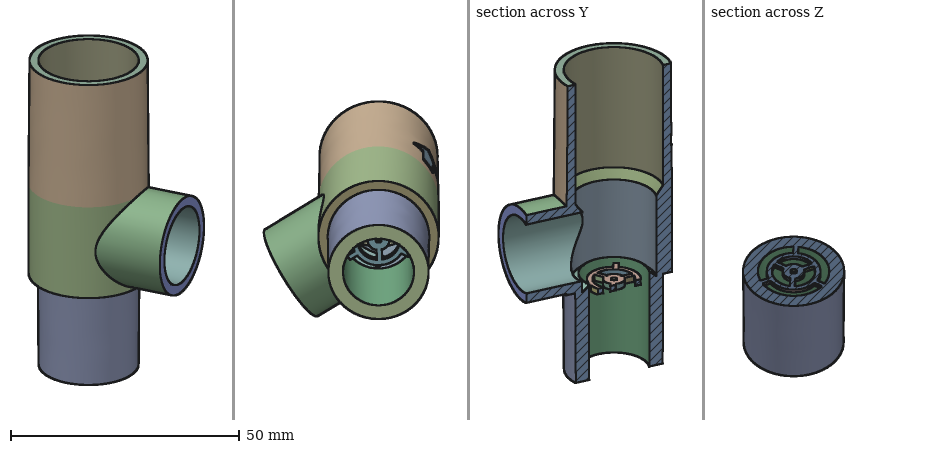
import cadquery as cq

total_height = 73.4
spigot_height = 22.0
tee_top = 43.9
body_radius = 13.2
rim_radius = 13.0
spigot_radius = 11.15
spigot_end_radius = 11.0

socket_radius = spigot_end_radius
chamber_radius = 9.4
outlet_radius = 7.8
shoulder_height = 2.2
seat_height = 1.5

branch_radius = spigot_radius
branch_bore_radius = 8.8
branch_reach = 22.75
branch_z = spigot_height + branch_radius

grid_thickness = 1.5
grid_bottom = spigot_height - grid_thickness
ring_outer_radius = 5.95
ring_inner_radius = 4.7
hub_radius = 2.4
pin_hole_radius = 0.65
spoke_width = 1.2
spoke_overlap = 0.4
spoke_count = 3

arrow_tip_z = 58.3
arrow_head_z = 53.3
arrow_bottom_z = 48.3
arrow_head_half_width = 4.6
arrow_shaft_half_width = 2.0
arrow_head_edge = 0.45
arrow_corner_radius = 0.45
arrow_depth = 0.15


def revolve_profile(points):
    """Turn a closed (radius, z) outline around the Z axis."""
    return cq.Workplane("XZ").polyline(points).close().revolve(360, (0, 0), (0, 1))


def body_outline(inset=0.0):
    """Tapered spigot, straight tee section and tapered socket."""
    return revolve_profile([
        (0, 0),
        (spigot_end_radius - inset, 0),
        (spigot_radius - inset, spigot_height),
        (body_radius - inset, spigot_height),
        (body_radius - inset, tee_top),
        (rim_radius - inset, total_height),
        (0, total_height),
    ])


def branch_cylinder(radius):
    return cq.Workplane("YZ").center(0, branch_z).circle(radius).extrude(branch_reach)


def main_bore():
    """Socket, conical shoulder, chamber, raised conical seat and outlet."""
    return revolve_profile([
        (0, 0),
        (outlet_radius, 0),
        (outlet_radius, spigot_height + seat_height),
        (chamber_radius, spigot_height),
        (chamber_radius, tee_top - shoulder_height),
        (socket_radius, tee_top),
        (socket_radius, total_height),
        (0, total_height),
    ])


def spokes(inner_radius, outer_radius, first_angle):
    """Equally spaced spokes that run slightly into the parts they join."""
    start = inner_radius - spoke_overlap
    length = outer_radius + spoke_overlap - start
    spoke = (
        cq.Workplane("XY")
        .workplane(offset=grid_bottom)
        .center(start + length / 2, 0)
        .rect(length, spoke_width)
        .extrude(grid_thickness)
    )
    spoke_set = cq.Workplane("XY")
    for index in range(spoke_count):
        angle = first_angle + index * 360 / spoke_count
        spoke_set = spoke_set.add(spoke.rotate((0, 0, 0), (0, 0, 1), angle))
    return spoke_set.combine()


def outlet_grid():
    base = cq.Workplane("XY").workplane(offset=grid_bottom)
    ring = base.circle(ring_outer_radius).circle(ring_inner_radius).extrude(grid_thickness)
    hub = base.circle(hub_radius).circle(pin_hole_radius).extrude(grid_thickness)
    inner_spokes = spokes(hub_radius, ring_inner_radius, 60)
    outer_spokes = spokes(ring_outer_radius, outlet_radius, 0)
    return ring.union(hub).union(inner_spokes).union(outer_spokes)


def arrow_recess():
    """Upward arrow, limited to a thin layer below the body surface."""
    right_half = [
        (arrow_head_half_width, arrow_head_z + arrow_head_edge),
        (arrow_head_half_width, arrow_head_z),
        (arrow_shaft_half_width, arrow_head_z),
        (arrow_shaft_half_width, arrow_bottom_z),
    ]
    left_half = [(-y, z) for y, z in reversed(right_half)]
    arrow = (
        cq.Workplane("YZ")
        .polyline([(0, arrow_tip_z)] + right_half + left_half)
        .close()
        .extrude(-body_radius)
    )
    shaft_corners = cq.selectors.BoxSelector(
        (-body_radius - 0.7, -arrow_shaft_half_width - 0.7, arrow_bottom_z - 0.7),
        (0.7, arrow_shaft_half_width + 0.7, arrow_head_z + arrow_head_edge / 2),
    )
    arrow = arrow.edges("|X").edges(shaft_corners).fillet(arrow_corner_radius)
    return arrow.cut(body_outline(arrow_depth))


result = (
    body_outline()
    .union(branch_cylinder(branch_radius))
    .cut(main_bore())
    .cut(branch_cylinder(branch_bore_radius))
    .union(outlet_grid())
    .cut(arrow_recess())
)